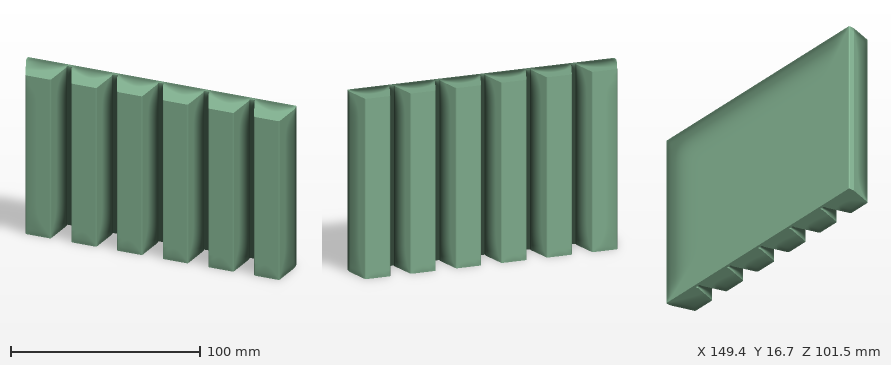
import cadquery as cq
import math

rib_count = 6
rib_width = 22.4
groove_gap = 3.0
depth = 16.7
height = 101.5
backing = 1.6
shoulder_depth = 3.3
flank_angle = 17.5
tip_radius = 0.9
back_radius = 0.5

pitch = rib_width + groove_gap
total_width = (rib_count - 1) * pitch + rib_width
back_y = depth / 2
tip_y = -depth / 2
shoulder_y = back_y - shoulder_depth
flank_inset = (depth - shoulder_depth) * math.tan(math.radians(flank_angle))


def make_rib(center_x):
    """Upright rib with a straight shoulder, tapered flanks and rounded tip edges."""
    base_half = rib_width / 2
    tip_half = base_half - flank_inset
    outline = [
        (-base_half, back_y),
        (-base_half, shoulder_y),
        (-tip_half, tip_y),
        (tip_half, tip_y),
        (base_half, shoulder_y),
        (base_half, back_y),
    ]
    rib = cq.Workplane("XY").polyline(outline).close().extrude(height)
    rib = rib.faces("<Y").edges("|Z").fillet(tip_radius)
    return rib.translate((center_x, 0, -height / 2))


result = cq.Workplane("XY").box(total_width, backing, height)
result = result.translate((0, back_y - backing / 2, 0))

for index in range(rib_count):
    result = result.union(make_rib((index - (rib_count - 1) / 2) * pitch))
result = result.clean()

result = result.faces(">Y").edges("|Z").fillet(back_radius)